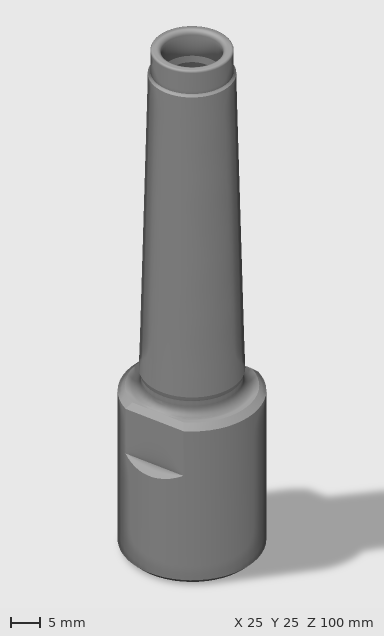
import cadquery as cq
import math

total_length = 100.0
body_radius = 25.0 / 2
body_length = 32.0
body_chamfer = 1.0
body_top_radius = 22.6 / 2

neck_radius = 17.4 / 2
neck_fillet = 1.5
neck_top = 34.6

taper_bottom = 35.5
taper_bottom_radius = 17.9 / 2
taper_top = 95.0
taper_top_radius = 14.9 / 2

tip_radius = 14.0 / 2
tip_rounding = 0.4
shoulder_height = 0.4

bore_radius = 8.4 / 2
counterbore_radius = 10.5 / 2
counterbore_depth = 5.0
mouth_rounding = 0.8
drill_point_angle = 120.0

across_flats = 22.0
flat_bottom = 22.0
cut_clearance = 1.0


def quarter_arc_middle(center_radius, center_z, arc_radius, radial_sign, axial_sign):
    """Midpoint of a quarter arc in the radial plane, in the quadrant given by the signs."""
    offset = arc_radius * math.sqrt(0.5)
    return (center_radius + radial_sign * offset, center_z + axial_sign * offset)


def make_outer_solid():
    """Revolve the body, neck, taper and tip about Z."""
    fillet_outer_radius = neck_radius + neck_fillet
    fillet_top = body_length + neck_fillet
    fillet_middle = quarter_arc_middle(fillet_outer_radius, fillet_top, neck_fillet, -1, -1)
    tip_rounding_middle = quarter_arc_middle(
        tip_radius - tip_rounding, total_length - tip_rounding, tip_rounding, 1, 1
    )
    return (
        cq.Workplane("XZ")
        .moveTo(0, 0)
        .lineTo(body_radius - body_chamfer, 0)
        .lineTo(body_radius, body_chamfer)
        .lineTo(body_radius, body_length - body_chamfer)
        .lineTo(body_top_radius, body_length)
        .lineTo(fillet_outer_radius, body_length)
        .threePointArc(fillet_middle, (neck_radius, fillet_top))
        .lineTo(neck_radius, neck_top)
        .lineTo(taper_bottom_radius, taper_bottom)
        .lineTo(taper_top_radius, taper_top)
        .lineTo(tip_radius, taper_top + shoulder_height)
        .lineTo(tip_radius, total_length - tip_rounding)
        .threePointArc(tip_rounding_middle, (tip_radius - tip_rounding, total_length))
        .lineTo(0, total_length)
        .close()
        .revolve(360, (0, 0), (0, 1))
    )


def make_bore():
    """Revolve the through bore, drill-point ledge, counterbore and rounded mouth."""
    ledge_width = counterbore_radius - bore_radius
    ledge_height = ledge_width / math.tan(math.radians(drill_point_angle / 2))
    counterbore_bottom = total_length - counterbore_depth
    mouth_middle = quarter_arc_middle(
        counterbore_radius + mouth_rounding, total_length - mouth_rounding, mouth_rounding, -1, 1
    )
    return (
        cq.Workplane("XZ")
        .moveTo(0, 0)
        .lineTo(bore_radius, 0)
        .lineTo(bore_radius, counterbore_bottom - ledge_height)
        .lineTo(counterbore_radius, counterbore_bottom)
        .lineTo(counterbore_radius, total_length - mouth_rounding)
        .threePointArc(mouth_middle, (counterbore_radius + mouth_rounding, total_length))
        .lineTo(0, total_length)
        .close()
        .revolve(360, (0, 0), (0, 1))
    )


def make_flat_cutter():
    """Prism for the +Y flat: 45 degree run-out below, 45 degree edge chamfer above."""
    flat_y = across_flats / 2
    outer_y = body_radius + cut_clearance
    chamfer_bottom = body_length - body_chamfer
    chamfer_reach = body_chamfer + neck_fillet / 3
    return (
        cq.Workplane("YZ")
        .moveTo(outer_y, flat_bottom - (outer_y - flat_y))
        .lineTo(flat_y, flat_bottom)
        .lineTo(flat_y, chamfer_bottom)
        .lineTo(flat_y - chamfer_reach, chamfer_bottom + chamfer_reach)
        .lineTo(outer_y, chamfer_bottom + chamfer_reach)
        .close()
        .extrude(body_radius, both=True)
    )


flat_cutter = make_flat_cutter()
result = (
    make_outer_solid()
    .cut(make_bore())
    .cut(flat_cutter)
    .cut(flat_cutter.mirror("XZ"))
)